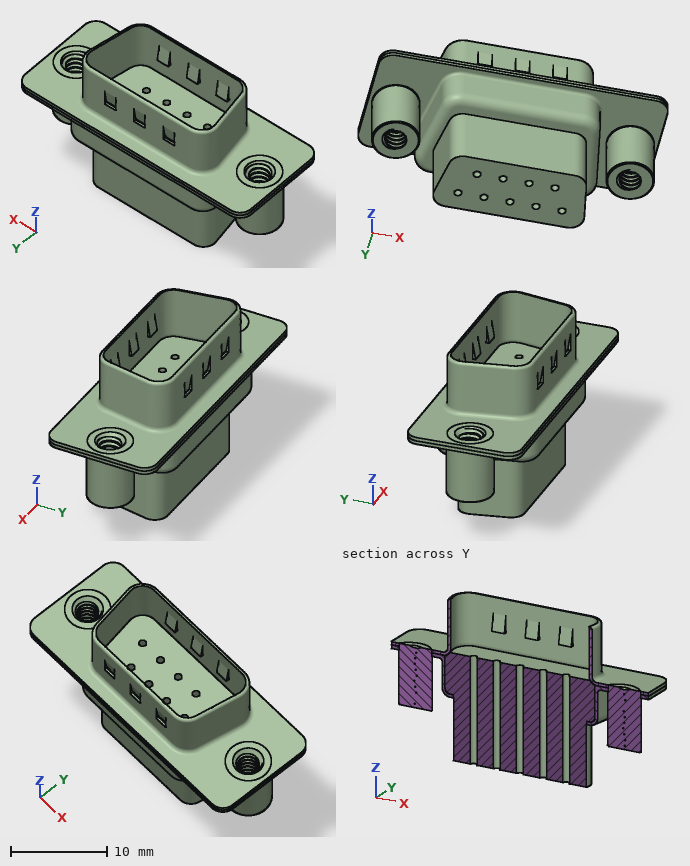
import cadquery as cq
import math


flange_length = 30.8
flange_width = 12.6
flange_corner = 1.5
sheet = 0.4
joint_z = -sheet
flange_bottom = joint_z - sheet

d_angle = math.radians(10)
front_outline = (8.85, 4.6, 2.0)
rear_outline = (9.67, 5.45, 2.0)
core_outline = (8.05, 3.5, 1.5)

front_top = 6.0
front_foot_radius = 0.5
front_rim_radius = 0.3

tab_width = 1.5
tab_pitch = 4.0
tabs_per_wall = 3
tab_top = 4.2
tab_bottom = 2.3
tab_depth = 0.3

rear_bottom = -4.93
rear_foot_radius = 0.3
rear_base_radius = 1.0

core_bottom = front_top - 17.9
core_top = 0.1
contact_diameter = 0.77
contact_pitch = 2.77
row_spacing = 2.85
long_row = 5
short_row = 4

standoff_spacing = 25.0
standoff_diameter = 5.0
standoff_bottom = -6.87
standoff_chamfer = 0.12
neck_diameter = 4.8
thread_minor = 2.25
thread_major = 2.93
thread_pitch = 0.635
thread_start = -7.2
groove_opening = 0.45
countersink_diameter = 3.23


def inset(outline, distance):
    """Move a D outline inward by the given distance."""
    return tuple(size - distance for size in outline)


def d_prism(outline, bottom, top):
    """Prism with a D outline whose long side faces +Y."""
    half_width, half_depth, radius = outline
    center_y = half_depth - radius
    top_x = half_width - radius
    bottom_x = top_x - 2 * center_y * math.tan(d_angle)
    side_x = radius * math.cos(d_angle)
    side_y = radius * math.sin(d_angle)
    upper_mid = math.radians(45) - d_angle / 2
    lower_mid = math.radians(45) + d_angle / 2
    upper_arc_x = top_x + radius * math.cos(upper_mid)
    upper_arc_y = center_y + radius * math.sin(upper_mid)
    lower_arc_x = bottom_x + radius * math.cos(lower_mid)
    lower_arc_y = -center_y - radius * math.sin(lower_mid)
    return (
        cq.Workplane("XY", origin=(0, 0, bottom))
        .moveTo(-top_x, half_depth)
        .lineTo(top_x, half_depth)
        .threePointArc((upper_arc_x, upper_arc_y), (top_x + side_x, center_y - side_y))
        .lineTo(bottom_x + side_x, -center_y - side_y)
        .threePointArc((lower_arc_x, lower_arc_y), (bottom_x, -half_depth))
        .lineTo(-bottom_x, -half_depth)
        .threePointArc((-lower_arc_x, lower_arc_y), (-bottom_x - side_x, -center_y - side_y))
        .lineTo(-top_x - side_x, center_y - side_y)
        .threePointArc((-upper_arc_x, upper_arc_y), (-top_x, half_depth))
        .close()
        .extrude(top - bottom)
    )


def flange_plate(bottom, top):
    """Flange with rounded corners."""
    return (
        cq.Workplane("XY", origin=(0, 0, bottom))
        .rect(flange_length, flange_width)
        .extrude(top - bottom)
        .edges("|Z")
        .fillet(flange_corner)
    )


def standoff_places():
    return cq.Workplane("XY").pushPoints([(-standoff_spacing / 2, 0), (standoff_spacing / 2, 0)])


def neck_holes():
    """Cutters for the two standoff necks, through both flanges."""
    return standoff_places().circle(neck_diameter / 2).extrude(flange_bottom)


def foot_edges(body, outline, z):
    """Edges at height z where a D-shaped wall meets a plate."""
    half_width, half_depth, _ = outline
    margin = 0.03
    box = cq.selectors.BoxSelector(
        (-half_width - margin, -half_depth - margin, z - margin),
        (half_width + margin, half_depth + margin, z + margin),
        boundingbox=True,
    )
    return body.edges(box)


def front_bore():
    """Inside of the front shell, flaring out to the joint plane."""
    outline = inset(front_outline, sheet)
    bore = flange_plate(flange_bottom, joint_z).union(d_prism(outline, joint_z, front_top))
    return foot_edges(bore, outline, joint_z).fillet(front_foot_radius + sheet)


def tab_wedges(wall_y):
    """Wedges on the inner side of a wall face at wall_y, thickest at the bottom."""
    tip_y = wall_y - math.copysign(tab_depth, wall_y)
    wedges = cq.Workplane("XY")
    for index in range(tabs_per_wall):
        center_x = (index - (tabs_per_wall - 1) / 2) * tab_pitch
        wedge = (
            cq.Workplane("YZ", origin=(center_x, 0, 0))
            .polyline([(wall_y, tab_top), (wall_y, tab_bottom), (tip_y, tab_bottom)])
            .close()
            .extrude(tab_width / 2, both=True)
        )
        wedges = wedges.add(wedge)
    return wedges.combine()


def make_front_shell():
    shell = flange_plate(joint_z, 0).union(d_prism(front_outline, joint_z, front_top))
    shell = foot_edges(shell, front_outline, 0).fillet(front_foot_radius)
    shell = shell.faces(">Z").edges().fillet(front_rim_radius)
    shell = shell.cut(front_bore()).cut(neck_holes())
    outer_y = front_outline[1]
    inner_y = outer_y - sheet
    for side in (-1, 1):
        shell = shell.union(tab_wedges(side * inner_y))
        shell = shell.cut(tab_wedges(side * outer_y))
    return shell


def rear_cavity():
    """Inside of the rear shell, with a rounded bottom edge."""
    cavity = d_prism(inset(rear_outline, sheet), rear_bottom + sheet, joint_z)
    return cavity.faces("<Z").edges().fillet(rear_base_radius - sheet)


def make_rear_shell():
    shell = flange_plate(flange_bottom, joint_z).union(d_prism(rear_outline, rear_bottom, joint_z))
    shell = foot_edges(shell, rear_outline, flange_bottom).fillet(rear_foot_radius)
    shell = shell.faces("<Z").edges().fillet(rear_base_radius)
    core_opening = d_prism(core_outline, rear_bottom, joint_z)
    return shell.cut(rear_cavity()).cut(core_opening).cut(neck_holes())


def contact_row(count, y):
    """Cutters for one row of contact holes through the insulator."""
    row = [((index - (count - 1) / 2) * contact_pitch, y) for index in range(count)]
    return (
        cq.Workplane("XY", origin=(0, 0, core_bottom))
        .pushPoints(row)
        .circle(contact_diameter / 2)
        .extrude(core_top - core_bottom)
    )


def make_insulator():
    tail = d_prism(core_outline, core_bottom, joint_z)
    head = d_prism(inset(rear_outline, sheet), joint_z, core_top).intersect(front_bore())
    body = tail.union(rear_cavity()).union(head)
    body = body.cut(contact_row(long_row, row_spacing / 2))
    return body.cut(contact_row(short_row, -row_spacing / 2))


def thread_groove():
    """Helical V groove running past both ends of the standoff."""
    minor = thread_minor / 2
    overlap = 0.05
    depth = thread_major / 2 - minor
    half_base = groove_opening / 2 * (depth + overlap) / depth
    length = thread_pitch - thread_start
    helix = cq.Wire.makeHelix(thread_pitch, length, minor, center=cq.Vector(0, 0, thread_start))
    return (
        cq.Workplane("XZ")
        .polyline([
            (minor - overlap, thread_start - half_base),
            (thread_major / 2, thread_start),
            (minor - overlap, thread_start + half_base),
        ])
        .close()
        .sweep(cq.Workplane(helix), isFrenet=True)
    )


def threaded_bore():
    """Bore through the standoff together with its thread groove."""
    bottom = thread_start - thread_pitch
    bore = (
        cq.Workplane("XY", origin=(0, 0, bottom))
        .circle(thread_minor / 2)
        .extrude(2 * thread_pitch - bottom)
    )
    return bore.union(thread_groove())


def countersink():
    """Ninety-degree cone that opens the bore at the mating face."""
    radius = countersink_diameter / 2
    return (
        cq.Workplane("XZ")
        .polyline([(0, 0), (radius, 0), (0, -radius)])
        .close()
        .revolve(360, (0, 0, 0), (0, 1, 0))
    )


def make_standoff():
    body = (
        cq.Workplane("XY", origin=(0, 0, standoff_bottom))
        .circle(standoff_diameter / 2)
        .extrude(flange_bottom - standoff_bottom)
        .faces("<Z")
        .edges()
        .chamfer(standoff_chamfer)
    )
    neck = cq.Workplane("XY").circle(neck_diameter / 2).extrude(flange_bottom)
    return body.union(neck).cut(threaded_bore()).cut(countersink())


front_shell = make_front_shell()
rear_shell = make_rear_shell()
insulator = make_insulator()
standoff = make_standoff()
standoffs = [
    standoff.translate((side * standoff_spacing / 2, 0, 0)).val()
    for side in (-1, 1)
]

result = cq.Compound.makeCompound([front_shell.val(), rear_shell.val(), insulator.val(), *standoffs])